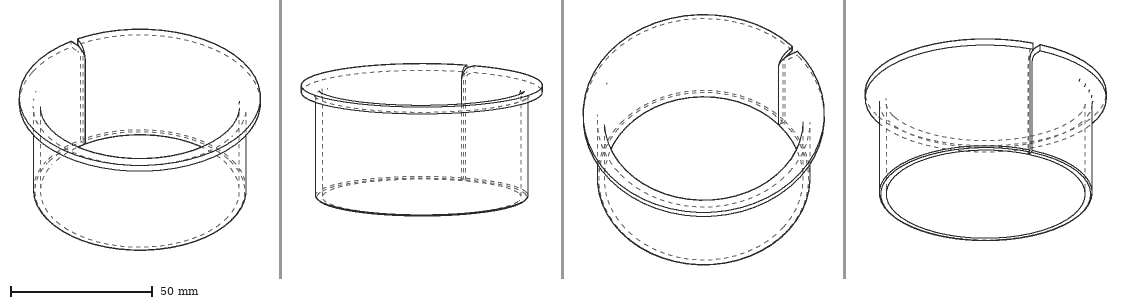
import cadquery as cq
import math

flange_radius = 42.5
height = 40.0
bore_radius = 35.0
wall = 2.5
outer_bend_radius = 2.0
bottom_chamfer = 0.5

split_half_angle = math.radians(10)
split_apex_radius = 34.85
split_center_y = -1.32

tube_radius = bore_radius + wall
lip_radius = outer_bend_radius + wall
bend_center_radius = bore_radius + lip_radius
bend_center_z = height - lip_radius
diagonal = math.sqrt(0.5)


def bend_midpoint(radius):
    """Midpoint of a quarter bend in the radial section plane."""
    return (bend_center_radius - radius * diagonal, bend_center_z + radius * diagonal)


def flanged_tube():
    """Revolve a constant-thickness wall that bends outward into the flange."""
    section = (
        cq.Workplane("XZ")
        .moveTo(bore_radius, 0)
        .lineTo(tube_radius - bottom_chamfer, 0)
        .lineTo(tube_radius, bottom_chamfer)
        .lineTo(tube_radius, bend_center_z)
        .threePointArc(bend_midpoint(outer_bend_radius), (bend_center_radius, height - wall))
        .lineTo(flange_radius, height - wall)
        .lineTo(flange_radius, height)
        .lineTo(bend_center_radius, height)
        .threePointArc(bend_midpoint(lip_radius), (bore_radius, bend_center_z))
        .close()
    )
    return section.revolve(360, (0, 0), (0, 1))


def split_wedge():
    """Wedge that narrows from outside the flange to almost nothing at the bore."""
    mouth_radius = flange_radius + wall
    mouth_half_width = (mouth_radius - split_apex_radius) * math.tan(split_half_angle)
    return (
        cq.Workplane("XY")
        .moveTo(-split_apex_radius, split_center_y)
        .lineTo(-mouth_radius, split_center_y + mouth_half_width)
        .lineTo(-mouth_radius, split_center_y - mouth_half_width)
        .close()
        .extrude(height)
    )


result = flanged_tube().cut(split_wedge())